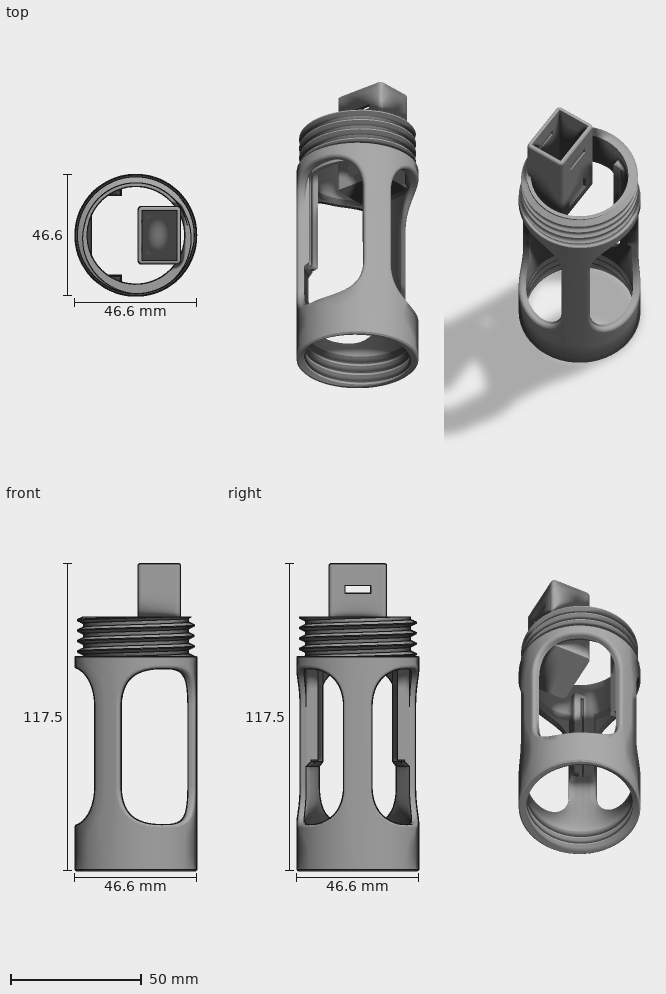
import cadquery as cq
import math

body_radius = 46.6 / 2
body_height = 82.0
shoulder_chamfer = 0.25
body_bore_radius = 20.5
bottom_rim_diameter = 45.44
bottom_chamfer = body_radius - bottom_rim_diameter / 2

neck_radius = 40.13 / 2
neck_bore_radius = 18.65
neck_top = 97.1
neck_cone_rise = 1.4

thread_pitch = 4.0
thread_crest_radius = 44.7 / 2
thread_base_width = 3.0
thread_crest_width = 0.4
thread_height_at_x_axis = 81.9

groove_root_radius = 22.6
groove_base_width = 3.9
groove_root_width = 0.4
groove_start_height = -1.6
groove_turns = 3.4

window_count = 3
window_bottom = 17.8
window_top = 77.3
window_corner_height = 14.4
window_half_angle = 45.7
window_flat_half_angle = 5.0
window_edge_fillet = 1.2
window_cut_start = 7.0
window_cut_end = 28.0

box_min_x = 0.8
box_max_x = 17.15
box_width = 22.1
box_wall = 1.5
box_floor_thickness = 1.6
box_bottom = window_top
box_top = 117.54
box_corner_fillet = 1.5
box_rim_fillet = 1.0

slot_width = 9.8
slot_bottom = 106.25
slot_height = 2.85

arch_radius = 5.65
arch_sill = 81.0
arch_spring = 85.0

rail_bottom = 40.0
guide_bottom = 41.9
guide_top = 90.2
rail_face_y = 15.2
rail_end_x = -5.5
rail_side_angle = 180 / window_count - window_half_angle
guide_bevel = 0.6

guide_slot_min_x = -9.5
guide_slot_max_x = -8.0
guide_slot_depth = 1.5
guide_slot_top = 88.0

pad_face_x = -17.0
pad_bottom = 76.8

overlap = 0.4


def cylinder(radius, bottom, top):
    return cq.Workplane("XY").workplane(offset=bottom).circle(radius).extrude(top - bottom)


def helical_ridge(base_radius, tip_radius, base_width, tip_width, start_height, turns):
    """Right-hand helical ridge of trapezoidal section, starting on the +X side."""
    path = cq.Wire.makeHelix(thread_pitch, thread_pitch * turns, base_radius)
    section = (
        cq.Workplane("XZ")
        .moveTo(base_radius, -base_width / 2)
        .lineTo(tip_radius, -tip_width / 2)
        .lineTo(tip_radius, tip_width / 2)
        .lineTo(base_radius, base_width / 2)
        .close()
    )
    ridge = section.sweep(cq.Workplane(obj=path), isFrenet=True)
    return ridge.translate((0, 0, start_height))


def window_outline(plane_distance):
    """Rounded window outline on a plane facing -X, scaled to keep its sides radial."""
    half_width = plane_distance * math.tan(math.radians(window_half_angle))
    flat = plane_distance * math.tan(math.radians(window_flat_half_angle))
    corner_width = half_width - flat
    half_height = (window_top - window_bottom) / 2
    straight = half_height - window_corner_height
    middle = (window_top + window_bottom) / 2
    plane = cq.Plane(origin=(-plane_distance, 0, middle), xDir=(0, -1, 0), normal=(-1, 0, 0))
    return (
        cq.Workplane(plane)
        .moveTo(half_width, -straight)
        .lineTo(half_width, straight)
        .ellipseArc(corner_width, window_corner_height, 0, 90)
        .lineTo(-flat, half_height)
        .ellipseArc(corner_width, window_corner_height, 90, 180)
        .lineTo(-half_width, -straight)
        .ellipseArc(corner_width, window_corner_height, 180, 270)
        .lineTo(flat, -half_height)
        .ellipseArc(corner_width, window_corner_height, 270, 360)
        .close()
        .wire()
        .val()
    )


def window_cutter():
    outlines = [window_outline(window_cut_start), window_outline(window_cut_end)]
    return cq.Workplane(obj=cq.Solid.makeLoft(outlines, True))


def body_bore():
    """Body bore, a short cone above it and the narrower neck bore, as one cutting body."""
    return (
        cq.Workplane("XZ")
        .moveTo(0, 0)
        .lineTo(body_bore_radius, 0)
        .lineTo(body_bore_radius, window_top)
        .lineTo(neck_bore_radius, window_top + neck_cone_rise)
        .lineTo(neck_bore_radius, neck_top)
        .lineTo(0, neck_top)
        .close()
        .revolve(360, (0, 0, 0), (0, 1, 0))
    )


def make_body():
    body = cylinder(body_radius, 0, body_height)
    body = body.faces("<Z").edges().chamfer(bottom_chamfer)
    body = body.faces(">Z").edges().chamfer(shoulder_chamfer)
    cutter = window_cutter()
    for index in range(window_count):
        body = body.cut(cutter.rotate((0, 0, 0), (0, 0, 1), index * 360 / window_count))
    return body


def round_window_edges(body):
    """Round the edges where the windows meet the outer cylinder."""
    height_margin = 0.5
    radius_tolerance = 0.01

    def on_window_rim(edge):
        box = edge.BoundingBox()
        above_bottom = box.zmin > window_bottom - height_margin
        below_top = box.zmax < window_top + height_margin
        points = [edge.positionAt(t) for t in (0, 0.5, 1)]
        offsets = [abs(math.hypot(p.x, p.y) - body_radius) for p in points]
        return above_bottom and below_top and max(offsets) < radius_tolerance

    rim = [edge for edge in body.edges().vals() if on_window_rim(edge)]
    return body.newObject(rim).fillet(window_edge_fillet)


def make_neck():
    neck = cylinder(neck_radius, body_height - overlap, neck_top)
    turns = math.ceil((neck_top - body_height) / thread_pitch) + 2
    ridge = helical_ridge(
        neck_radius - overlap,
        thread_crest_radius,
        thread_base_width,
        thread_crest_width,
        thread_height_at_x_axis - thread_pitch,
        turns,
    )
    ridge = ridge.intersect(cylinder(body_radius, body_height, neck_top))
    neck = neck.union(ridge)
    return neck.cut(cylinder(neck_bore_radius, body_height - overlap, neck_top))


def internal_groove():
    return helical_ridge(
        body_bore_radius - overlap,
        groove_root_radius,
        groove_base_width,
        groove_root_width,
        groove_start_height,
        groove_turns,
    )


def make_box():
    length = box_max_x - box_min_x
    center_x = (box_min_x + box_max_x) / 2
    height = box_top - box_bottom
    base = cq.Workplane("XY").workplane(offset=box_bottom).center(center_x, 0)
    box = base.rect(length, box_width).extrude(height)
    box = box.edges("|Z").fillet(box_corner_fillet)
    box = box.faces(">Z").edges().fillet(box_rim_fillet)
    cavity = (
        base.workplane(offset=box_floor_thickness)
        .rect(length - 2 * box_wall, box_width - 2 * box_wall)
        .extrude(height)
    )
    slot = base.workplane(offset=slot_bottom - box_bottom).rect(2 * length, slot_width).extrude(slot_height)
    arch = (
        cq.Workplane("YZ")
        .workplane(offset=box_min_x - overlap)
        .moveTo(-arch_radius, arch_sill)
        .lineTo(arch_radius, arch_sill)
        .lineTo(arch_radius, arch_spring)
        .threePointArc((0, arch_spring + arch_radius), (-arch_radius, arch_spring))
        .close()
        .extrude(box_wall + 2 * overlap)
    )
    return box.cut(cavity).cut(slot).cut(arch)


def make_rail():
    """Inner thickening of the +Y/-X pillar with a square guide on its +X end."""
    outer = body_bore_radius + overlap
    lead_in = body_bore_radius - neck_bore_radius
    thickening_top = window_top + neck_cone_rise
    ring = (
        cq.Workplane("XZ")
        .moveTo(outer, rail_bottom)
        .lineTo(body_bore_radius, rail_bottom)
        .lineTo(neck_bore_radius, rail_bottom + lead_in)
        .lineTo(neck_bore_radius, thickening_top)
        .lineTo(outer, thickening_top)
        .close()
        .revolve(360, (0, 0, 0), (0, 1, 0))
    )
    pillar_angle = 360 / window_count
    reach = 2 * body_radius
    corners = [
        (reach * math.cos(math.radians(angle)), reach * math.sin(math.radians(angle)))
        for angle in (pillar_angle - rail_side_angle, pillar_angle + rail_side_angle)
    ]
    sector = cq.Workplane("XY").polyline([(0, 0)] + corners).close().extrude(body_height)
    behind_guide_end = (
        cq.Workplane("XY")
        .box(reach, reach, box_top, centered=(False, True, False))
        .translate((rail_end_x - reach, 0, 0))
    )
    thickening = ring.intersect(sector).intersect(behind_guide_end)
    return thickening.union(make_guide(sector)).cut(guide_slot())


def make_guide(sector):
    """Square guide that bridges the bore wall; inside the window zone it stays on the pillar."""
    guide = (
        cq.Workplane("XY")
        .box(body_radius, body_radius, guide_top - guide_bottom, centered=False)
        .translate((rail_end_x - body_radius, rail_face_y, guide_bottom))
    )
    guide = guide.faces("<Z or >Z").edges("<Y or >X").chamfer(guide_bevel)
    in_window_zone = cylinder(body_bore_radius + overlap, guide_bottom, window_top).intersect(sector)
    in_neck = cylinder(neck_bore_radius + overlap, window_top, guide_top)
    return guide.intersect(in_window_zone.union(in_neck))


def guide_slot():
    return (
        cq.Workplane("XY")
        .box(
            guide_slot_max_x - guide_slot_min_x,
            2 * guide_slot_depth,
            guide_slot_top - rail_bottom,
            centered=(False, True, False),
        )
        .translate((guide_slot_min_x, rail_face_y, rail_bottom))
    )


def make_pad():
    """Flat pad that fills the -X side of the bore above the window."""
    chord = cylinder(neck_bore_radius + overlap, pad_bottom, body_height)
    keep = cq.Workplane("XY").box(body_radius, 2 * body_radius, 2 * body_height)
    return chord.intersect(keep.translate((pad_face_x - body_radius / 2, 0, pad_bottom)))


body = round_window_edges(make_body()).cut(body_bore()).cut(internal_groove())
rail = make_rail()
result = body.union(make_neck()).union(make_box())
result = result.union(rail).union(rail.mirror("XZ")).union(make_pad())